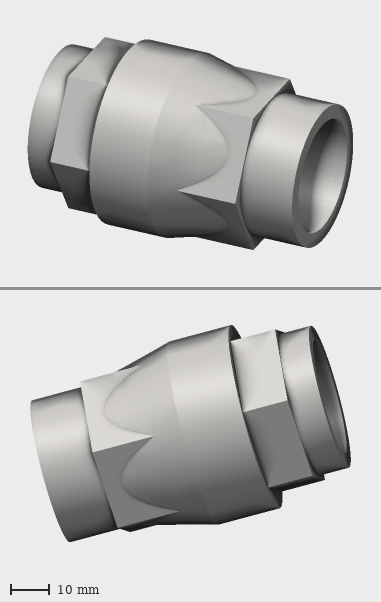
import cadquery as cq
import math

length = 75.0
inlet_hex_start = 8.0
body_start = 20.0
cone_start = 36.45
cone_end = 55.9
outlet_hex_end = 60.5

body_diameter = 49.0
stub_diameter = 37.95
bore_diameter = 30.3
hex_flats = 39.15
hex_corners = hex_flats * 2 / math.sqrt(3)

bore_depth = 19.05


def section_plane(x):
    """Plane normal to X, with its local x along Y (hexagon corners on +-Y)."""
    return cq.Workplane(cq.Plane(origin=(x, 0, 0), xDir=(0, 1, 0), normal=(1, 0, 0)))


def cylinder(start, end, diameter):
    return section_plane(start).circle(diameter / 2).extrude(end - start)


def hexagon(start, end):
    return section_plane(start).polygon(6, hex_corners).extrude(end - start)


def cone():
    """Taper from the body down to the flats of the outlet hexagon."""
    return (
        cq.Workplane("XZ")
        .moveTo(cone_start, 0)
        .lineTo(cone_start, body_diameter / 2)
        .lineTo(cone_end, hex_flats / 2)
        .lineTo(cone_end, 0)
        .close()
        .revolve(360, (0, 0, 0), (1, 0, 0))
    )


result = (
    cylinder(0, length, stub_diameter)
    .union(hexagon(inlet_hex_start, body_start))
    .union(cylinder(body_start, cone_start, body_diameter))
    .union(hexagon(cone_start, outlet_hex_end).union(cone()))
)

result = result.cut(cylinder(0, bore_depth, bore_diameter))
result = result.cut(cylinder(length - bore_depth, length, bore_diameter))

result = result.translate((-length / 2, 0, 0))